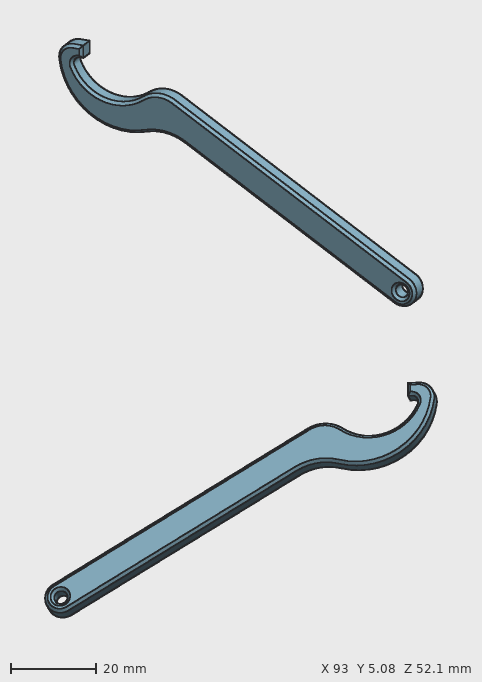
import math

import cadquery as cq

THICKNESS = 5.08
EDGE_CHAMFER = 0.762

LENGTH_X = 93.01
HEIGHT_Z = 52.13

INNER_CENTER = (0.0, 0.0)
INNER_RADIUS = 11.9
OUTER_RADIUS = 17.75
OUTER_CENTER = (2.7, -1.4)
TIP_RADIUS = 3.81
NIB_TOP = 0.67
NIB_THICKNESS = 3.175
NIB_END_X = -8.6
NIB_RELIEF_RADIUS = 1.5875

HANDLE_WIDTH = 7.62
HANDLE_SLOPE = math.radians(-30)
CREST_RADIUS = 7.62
VALLEY_RADIUS = 12.7
HOLE_DIAMETER = 3.17


def offset(point, distance, angle):
    """Point at a distance from another, in the direction of an angle."""
    return (point[0] + distance * math.cos(angle), point[1] + distance * math.sin(angle))


def direction(start, end):
    """Angle of the vector from start to end."""
    return math.atan2(end[1] - start[1], end[0] - start[0])


def circle_left_x(center, radius, z):
    """X where a circle reaches height z, on its left side."""
    return center[0] - math.sqrt(radius**2 - (z - center[1]) ** 2)


def circle_exit(point, angle, center, radius):
    """Where the line through a point at an angle leaves a circle, going along that angle."""
    dx = center[0] - point[0]
    dz = center[1] - point[1]
    along = dx * math.cos(angle) + dz * math.sin(angle)
    across = dz * math.cos(angle) - dx * math.sin(angle)
    return offset(point, along + math.sqrt(radius**2 - across**2), angle)


def arc(outline, center, radius, start_angle, end_angle):
    """Add an arc about a centre between two angles."""
    middle = offset(center, radius, (start_angle + end_angle) / 2)
    return outline.threePointArc(middle, offset(center, radius, end_angle))


nib_bottom = NIB_TOP - NIB_THICKNESS
handle_half = HANDLE_WIDTH / 2
handle_normal = HANDLE_SLOPE + math.pi / 2

tip_z = NIB_TOP - TIP_RADIUS
tip_center = (circle_left_x(OUTER_CENTER, OUTER_RADIUS - TIP_RADIUS, tip_z), tip_z)

relief_z = nib_bottom - NIB_RELIEF_RADIUS
relief_center = (circle_left_x(INNER_CENTER, INNER_RADIUS - NIB_RELIEF_RADIUS, relief_z), relief_z)

hole_center = (
    tip_center[0] - TIP_RADIUS + LENGTH_X - handle_half,
    NIB_TOP - HEIGHT_Z + handle_half,
)
handle_top_end = offset(hole_center, handle_half, handle_normal)
handle_bottom_end = offset(hole_center, -handle_half, handle_normal)

crest_center = circle_exit(
    offset(handle_top_end, -CREST_RADIUS, handle_normal),
    HANDLE_SLOPE,
    INNER_CENTER,
    INNER_RADIUS + CREST_RADIUS,
)
valley_center = circle_exit(
    offset(handle_bottom_end, -VALLEY_RADIUS, handle_normal),
    HANDLE_SLOPE,
    OUTER_CENTER,
    OUTER_RADIUS + VALLEY_RADIUS,
)


def make_outline():
    """Closed outline from the upper corner of the nib's end, down and along the inner edge."""
    tip_join = direction(OUTER_CENTER, tip_center) % math.tau
    relief_join = direction(INNER_CENTER, relief_center) % math.tau
    crest_join = direction(INNER_CENTER, crest_center) % math.tau
    valley_join = direction(OUTER_CENTER, valley_center) % math.tau

    outline = cq.Workplane("XZ").moveTo(NIB_END_X, NIB_TOP)
    outline = outline.lineTo(NIB_END_X, nib_bottom)
    outline = outline.lineTo(relief_center[0], nib_bottom)
    outline = arc(outline, relief_center, NIB_RELIEF_RADIUS, math.pi / 2, relief_join)
    outline = arc(outline, INNER_CENTER, INNER_RADIUS, relief_join, crest_join)
    outline = arc(outline, crest_center, CREST_RADIUS, crest_join - math.pi, handle_normal)
    outline = outline.lineTo(*handle_top_end)
    outline = arc(outline, hole_center, handle_half, handle_normal, handle_normal - math.pi)
    outline = outline.lineTo(*offset(valley_center, VALLEY_RADIUS, handle_normal))
    outline = arc(outline, valley_center, VALLEY_RADIUS, handle_normal, valley_join - math.pi)
    outline = arc(outline, OUTER_CENTER, OUTER_RADIUS, valley_join, tip_join)
    outline = arc(outline, tip_center, TIP_RADIUS, tip_join, math.pi / 2)
    return outline.close()


def make_spanner():
    """Plate with the hanging hole, chamfered around both faces."""
    hole = cq.Workplane("XZ").center(*hole_center).circle(HOLE_DIAMETER / 2)
    plate = make_outline().extrude(THICKNESS / 2, both=True)
    plate = plate.cut(hole.extrude(THICKNESS, both=True))
    return plate.faces("<Y or >Y").chamfer(EDGE_CHAMFER)


result = make_spanner()